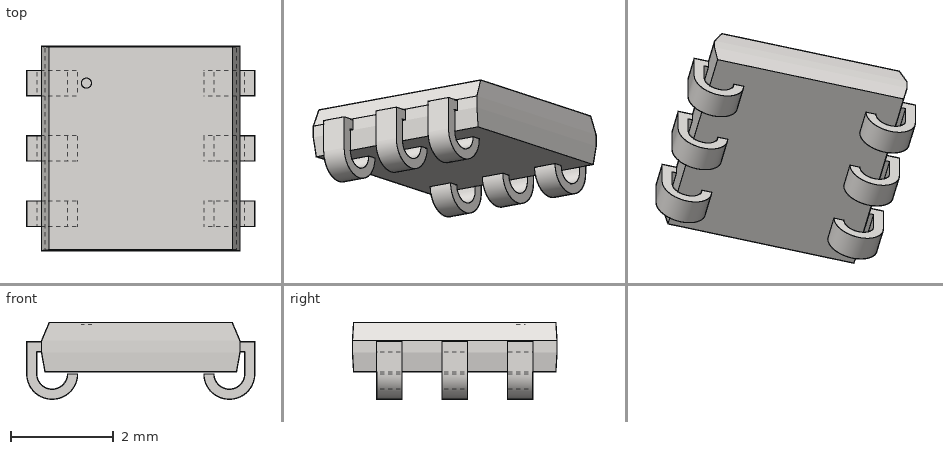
import cadquery as cq

span_x = 4.45
height = 1.5

lead_width = 0.5
lead_thickness = 0.2
lead_pitch = 1.273
lead_top = 1.125
hook_radius = 0.5
hook_inner_radius = hook_radius - lead_thickness
leads_per_side = 3

lead_reach = 0.29
waist_x = span_x - 2 * lead_reach
waist_y = 3.99
housing_bottom = 0.54
waist_bottom = 0.912
waist_top = 1.145
top_inset_x = 0.15
bottom_inset_x = 0.065
end_inset_y = 0.022

marker_diameter = 0.195
marker_depth = 0.045
marker_x = -1.06
marker_y = lead_pitch


def tapered_block(z_low, inset_low, z_high, inset_high):
    """Loft between two levels; each inset is an (x, y) pair measured in from the waist outline."""
    return (
        cq.Workplane("XY", origin=(0, 0, z_low))
        .rect(waist_x - 2 * inset_low[0], waist_y - 2 * inset_low[1])
        .workplane(offset=z_high - z_low)
        .rect(waist_x - 2 * inset_high[0], waist_y - 2 * inset_high[1])
        .loft(ruled=True, combine=True)
    )


def make_marker():
    """Thin disc let into the top face."""
    return (
        cq.Workplane("XY", origin=(marker_x, marker_y, height - marker_depth))
        .circle(marker_diameter / 2)
        .extrude(marker_depth)
    )


def make_housing():
    """Moulded package body with a recess for the marker."""
    no_inset = (0, 0)
    lower = tapered_block(housing_bottom, (bottom_inset_x, end_inset_y), waist_bottom, no_inset)
    waist = tapered_block(waist_bottom, no_inset, waist_top, no_inset)
    upper = tapered_block(waist_top, no_inset, height, (top_inset_x, end_inset_y))
    return lower.union(waist).union(upper).cut(make_marker())


def make_left_lead(y_center):
    """J-shaped lead: a short arm off the housing, a straight leg and a half-round hook."""
    outer_x = -span_x / 2
    inner_x = outer_x + lead_thickness
    hook_x = outer_x + hook_radius
    hook_z = hook_radius
    return (
        cq.Workplane("XZ", origin=(0, y_center, 0))
        .moveTo(-waist_x / 2, lead_top)
        .lineTo(outer_x, lead_top)
        .lineTo(outer_x, hook_z)
        .threePointArc((hook_x, hook_z - hook_radius), (hook_x + hook_radius, hook_z))
        .lineTo(hook_x + hook_inner_radius, hook_z)
        .threePointArc((hook_x, hook_z - hook_inner_radius), (inner_x, hook_z))
        .lineTo(inner_x, lead_top - lead_thickness)
        .lineTo(-waist_x / 2, lead_top - lead_thickness)
        .close()
        .extrude(lead_width / 2, both=True)
    )


def make_leads():
    """A row of leads on the -X side and its mirror image on the +X side."""
    leads = []
    for index in range(leads_per_side):
        y_center = (index - (leads_per_side - 1) / 2) * lead_pitch
        left_lead = make_left_lead(y_center)
        leads.append(left_lead.solids().val())
        leads.append(left_lead.mirror("YZ").solids().val())
    return leads


housing = make_housing()
marker = make_marker()
leads = make_leads()

result = cq.Compound.makeCompound([housing.solids().val(), marker.val(), *leads])